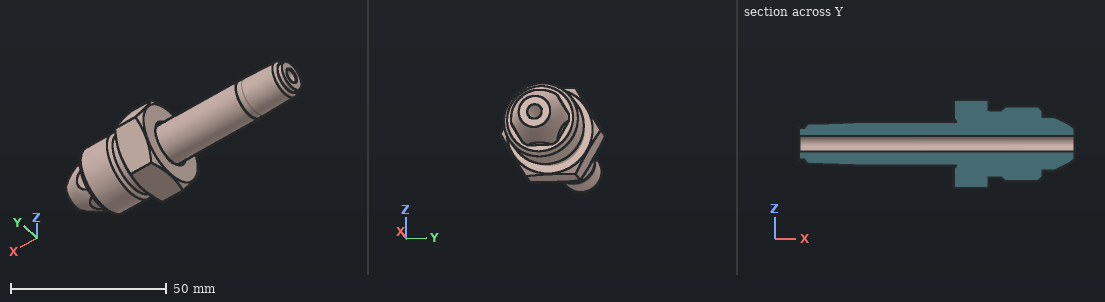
import cadquery as cq
import math

overall_length = 88.9
bore_radius = 2.38
bore_mouth_radius = 2.65

pilot_length = 1.7
pilot_radius = 5.15
shoulder_radius = 5.35
taper_start = 2.75
taper_start_radius = 6.57
taper_end = 15.1
taper_end_radius = 6.93
stub_length = 17.5

tube_radius = 7.1

hex_start = 49.85
hex_length = 11.3
hex_sides = 6
hex_across_flats = 28.575
hex_face_radius = 14.05
hex_chamfer_angle = 30.0
recess_radius = 7.9
recess_depth = recess_radius - tube_radius

neck_radius = 10.9
neck_root_fillet = 0.45
collar_start = 65.1
collar_end = 78.6
collar_radius = 12.15
collar_chamfer = 1.35

nose_base_radius = 9.5
nose_tip_radius = 5.15
nose_flat_distance = 8.73
nose_flat_end = 82.25
nose_flat_count = 6

hex_end = hex_start + hex_length
hex_corner_radius = hex_across_flats / 2 / math.cos(math.pi / hex_sides)


def revolve_profile(profile):
    """Revolve a closed XY profile about the X axis."""
    return profile.close().revolve(360, (0, 0, 0), (1, 0, 0))


def turned_body():
    """Stub, tube, neck, collar and nose as one turned shape."""
    collar_edge_radius = collar_radius - collar_chamfer
    fillet_rise = neck_root_fillet * (1 - math.sin(math.radians(45)))
    fillet_middle = (hex_end + fillet_rise, neck_radius + fillet_rise)
    profile = (
        cq.Workplane("XY")
        .moveTo(0, 0)
        .lineTo(0, pilot_radius)
        .lineTo(pilot_length, pilot_radius)
        .lineTo(pilot_length, shoulder_radius)
        .lineTo(taper_start, taper_start_radius)
        .lineTo(taper_end, taper_end_radius)
        .lineTo(stub_length, taper_end_radius)
        .lineTo(stub_length, tube_radius)
        .lineTo(hex_end, tube_radius)
        .lineTo(hex_end, neck_radius + neck_root_fillet)
        .threePointArc(fillet_middle, (hex_end + neck_root_fillet, neck_radius))
        .lineTo(collar_start, neck_radius)
        .lineTo(collar_start + collar_chamfer, collar_radius)
        .lineTo(collar_end - collar_chamfer, collar_radius)
        .lineTo(collar_end, collar_edge_radius)
        .lineTo(collar_end, nose_base_radius)
        .threePointArc((nose_flat_end, nose_flat_distance), (overall_length, nose_tip_radius))
        .lineTo(overall_length, 0)
    )
    return revolve_profile(profile)


def hex_nut():
    """Hexagon with two flats facing +Z and -Z and both ends chamfered to a circle."""
    prism = (
        cq.Workplane("YZ", origin=(hex_start, 0, 0))
        .polygon(hex_sides, 2 * hex_corner_radius)
        .extrude(hex_length)
    )
    chamfer_length = (hex_corner_radius - hex_face_radius) * math.tan(math.radians(hex_chamfer_angle))
    envelope = revolve_profile(
        cq.Workplane("XY")
        .moveTo(hex_start, 0)
        .lineTo(hex_start, hex_face_radius)
        .lineTo(hex_start + chamfer_length, hex_corner_radius)
        .lineTo(hex_end - chamfer_length, hex_corner_radius)
        .lineTo(hex_end, hex_face_radius)
        .lineTo(hex_end, 0)
    )
    return prism.intersect(envelope)


def hex_recess():
    """Conical recess in the hex face, around the tube."""
    return revolve_profile(
        cq.Workplane("XY")
        .moveTo(hex_start, tube_radius)
        .lineTo(hex_start, recess_radius)
        .lineTo(hex_start + recess_depth, tube_radius)
    )


def nose_flat_cut(index):
    """Block that trims one flat on the nose; the first flat faces +Z."""
    flat_depth = nose_base_radius - nose_flat_distance
    block = cq.Workplane("XY").box(
        overall_length - collar_end,
        2 * nose_base_radius,
        flat_depth,
        centered=(False, True, False),
    )
    placed = block.translate((collar_end, 0, nose_flat_distance))
    return placed.rotate((0, 0, 0), (1, 0, 0), index * 360 / nose_flat_count)


def bore():
    """Through bore along the axis, with a small chamfer at the tube end."""
    hole = cq.Workplane("YZ").circle(bore_radius).extrude(overall_length)
    mouth_depth = bore_mouth_radius - bore_radius
    mouth = revolve_profile(
        cq.Workplane("XY")
        .moveTo(0, 0)
        .lineTo(0, bore_mouth_radius)
        .lineTo(mouth_depth, bore_radius)
        .lineTo(mouth_depth, 0)
    )
    return hole.union(mouth)


part = turned_body().union(hex_nut().cut(hex_recess()))
for flat_index in range(nose_flat_count):
    part = part.cut(nose_flat_cut(flat_index))
result = part.cut(bore())